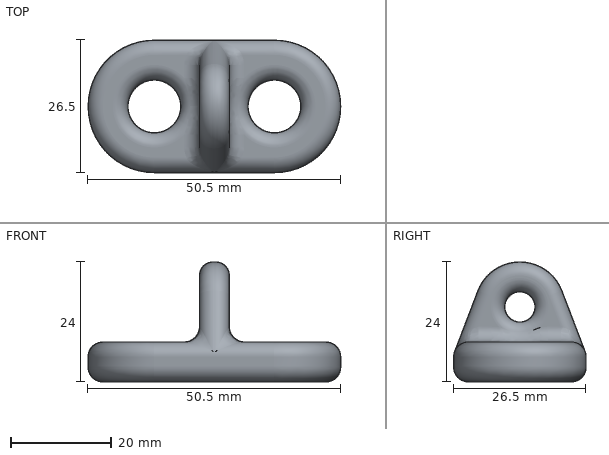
import cadquery as cq
import math

hole_spacing = 24.0
base_width = 26.5
base_height = 8.0
base_round = 3.0
mount_hole_diameter = 10.5
base_length = hole_spacing + base_width

eye_thickness = 6.0
eye_round = 2.75
eye_radius = 9.0
eye_center_z = 15.0
eye_hole_diameter = 6.0
eye_foot_z = 4.0
eye_foot_inset = 0.9

blend_radius = 3.0


def make_base():
    """Slot-shaped plate with two mounting holes, every edge rounded."""
    plate = cq.Workplane("XY").slot2D(base_length, base_width).extrude(base_height)
    holes = (
        cq.Workplane("XY")
        .pushPoints([(-hole_spacing / 2, 0), (hole_spacing / 2, 0)])
        .circle(mount_hole_diameter / 2)
        .extrude(base_height)
    )
    return plate.cut(holes).faces("<Z or >Z").edges().fillet(base_round)


def point_on_arc(center, radius, angle):
    return (center[0] + radius * math.cos(angle), center[1] + radius * math.sin(angle))


def mirrored(point):
    return (-point[0], point[1])


def make_eye():
    """Upright lug whose flanks are tangent to the eye arc and to the rounded base edges."""
    eye_center = (0, eye_center_z)
    base_round_center = (base_width / 2 - base_round, base_height - base_round)

    drop = eye_center[1] - base_round_center[1]
    center_distance = math.hypot(base_round_center[0], drop)
    normal_from_centers = math.acos((eye_radius - base_round) / center_distance)
    flank_angle = normal_from_centers - math.atan2(drop, base_round_center[0])

    foot = (base_width / 2 - eye_foot_inset, eye_foot_z)
    flank_bottom = point_on_arc(base_round_center, base_round, flank_angle)
    flank_top = point_on_arc(eye_center, eye_radius, flank_angle)
    eye_top = point_on_arc(eye_center, eye_radius, math.pi / 2)

    eye_plane = cq.Workplane("YZ", origin=(-eye_thickness / 2, 0, 0))
    lug = (
        eye_plane.moveTo(*mirrored(foot))
        .lineTo(*foot)
        .lineTo(*flank_bottom)
        .lineTo(*flank_top)
        .threePointArc(eye_top, mirrored(flank_top))
        .lineTo(*mirrored(flank_bottom))
        .close()
        .extrude(eye_thickness)
    )
    hole = eye_plane.center(*eye_center).circle(eye_hole_diameter / 2).extrude(eye_thickness)
    lug = lug.cut(hole)

    side_edges = lug.faces("<X or >X").edges()
    foot_edges = lug.faces("<Z").edges("|Y").vals()
    rounded_edges = [edge for edge in side_edges.vals() if not any(edge.isSame(f) for f in foot_edges)]
    return lug.newObject(rounded_edges).fillet(eye_round)


def blend_eye(part):
    """Fillet the seams where the flat sides of the eye meet the top of the base."""
    half_thickness = eye_thickness / 2
    margin = 0.1
    seam_zone = cq.selectors.BoxSelector(
        (-half_thickness - margin, -margin, base_height - margin),
        (half_thickness + margin, margin, base_height + margin),
    )
    return part.edges("|Y").edges(seam_zone).fillet(blend_radius)


result = blend_eye(make_base().union(make_eye()))